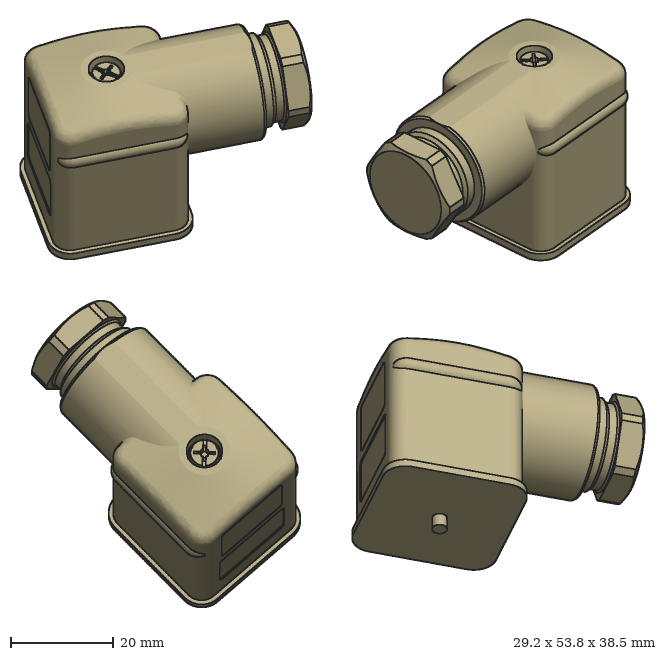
import cadquery as cq
import math

top_z = 35.8
overall_length = 53.75

edge_tolerance = 0.005

gasket_side = 29.2
gasket_thickness = 1.6
gasket_corner = 4.55

block_side = 27.3
block_half = block_side / 2
block_corner = 3.45
roof_flat_radius = 5.05
roof_slope = math.radians(15)
roof_fillet = 2.3

tube_radius = 11.55
tube_flat_half_width = 2.605
tube_axis_z = top_z - math.sqrt(tube_radius**2 - tube_flat_half_width**2)
tube_end_y = 29.35
tube_chamfer_length = 0.5
tube_chamfer_depth = 0.3
tube_root_fillet = 0.2

rib_z = 25.7
rib_half_height = 1.4
rib_crest = 0.65
rib_root = 0.1
rib_turn_radius = 2.3
rib_turn_y = block_half - block_corner

label_corner = 0.85
upper_label = (16.05, 18.65, 29.65, 0.05)
lower_label = (17.1, 6.65, 16.6, 0.25)

shank_radius = 1.48
shank_end_z = -2.7
head_top_z = top_z - 0.9
head_seat_z = head_top_z - 1.6
head_top_radius = 2.75
head_seat_radius = 2.95
bore_top_radius = 3.5
bore_seat_radius = 3.3

drive_angle = 45
slot_width = 0.7
slot_depth = 0.3
cross_width = 0.5
cross_top_half = 2.1
cross_bottom_half = 0.65
cross_depth = 1.1
cross_centre_radius = 0.85

nut_flats = 19.15
nut_corners = 21.1
nut_back_y = 34.0
nut_end_y = overall_length - gasket_side / 2
nut_end_radius = 9.1
nut_chamfer_slope = math.radians(30)
neck_radius = 8.65
neck_top_radius = 9.1
neck_top_y = 33.65
neck_bottom_y = 32.05
collar_radius = 9.35
collar_top_y = 31.35


def rounded_block(side, corner, bottom_z, height):
    """Square block about the Z axis with rounded vertical edges."""
    return cq.Workplane("XY", origin=(0, 0, bottom_z)).rect(side, side).extrude(height).edges("|Z").fillet(corner)


def turned_about_z(profile):
    """Solid of revolution about Z from (radius, z) points."""
    return cq.Workplane("XZ").polyline(profile).close().revolve(360, (0, 0), (0, 1))


def turned_about_tube(profile):
    """Solid of revolution about the tube axis from (radius, y) points."""
    plane = cq.Workplane("XY", origin=(0, 0, tube_axis_z))
    return plane.polyline(profile).close().revolve(360, (0, 0), (0, 1))


def make_roofed_block():
    """Block cut to a cone around a flat circle, with the outer roof edge rounded."""
    block = rounded_block(block_side, block_corner, gasket_thickness, top_z - gasket_thickness)
    rim_radius = block_side
    rim_z = top_z - (rim_radius - roof_flat_radius) * math.tan(roof_slope)
    envelope = turned_about_z([
        (0, 0), (0, top_z), (roof_flat_radius, top_z), (rim_radius, rim_z), (rim_radius, 0),
    ])
    block = block.intersect(envelope)

    roof_edges = [
        edge for edge in block.edges().vals()
        if edge.geomType() != "LINE" and rim_z < edge.Center().z < top_z - edge_tolerance
    ]
    return block.newObject(roof_edges).fillet(roof_fillet)


def make_tube():
    """Cable tube from the screw axis to its chamfered end, flattened at roof level."""
    tube = turned_about_tube([
        (0, 0), (tube_radius, 0), (tube_radius, tube_end_y - tube_chamfer_length),
        (tube_radius - tube_chamfer_depth, tube_end_y), (0, tube_end_y),
    ])
    below_roof = cq.Workplane("XY").box(block_side, 3 * block_side, top_z, centered=(True, True, False))
    return tube.intersect(below_roof)


def fillet_tube_root(body):
    """Round the curved seams where the tube leaves the roof and the +Y wall."""
    def lies_on_tube(edge):
        sample_points = [edge.positionAt(fraction) for fraction in (0.1, 0.3, 0.6)]
        return all(
            math.isclose(math.hypot(point.x, point.z - tube_axis_z), tube_radius, abs_tol=edge_tolerance)
            for point in sample_points
        )

    seams = [
        edge for edge in body.edges().vals()
        if edge.geomType() != "LINE" and 0 < edge.Center().y <= block_half and lies_on_tube(edge)
    ]
    return body.newObject(seams).fillet(tube_root_fillet)


def make_rib(side):
    """Rib on the wall at X = side * block_half, with its two ends turned about vertical axes."""
    crest_x = block_half + rib_crest
    edge_x = block_half - rib_root
    turn_x = edge_x - rib_turn_radius

    def section(y):
        return (
            cq.Workplane("XZ", origin=(side * turn_x, y, rib_z))
            .moveTo(0, -rib_half_height)
            .lineTo(side * rib_turn_radius, -rib_half_height)
            .threePointArc((side * (crest_x - turn_x), 0), (side * rib_turn_radius, rib_half_height))
            .lineTo(0, rib_half_height)
            .close()
        )

    rib = section(rib_turn_y).extrude(2 * rib_turn_y)
    for y in (-rib_turn_y, rib_turn_y):
        rib = rib.union(section(y).revolve(360, (0, 0), (0, 1)))
    return rib


def make_label_recess(width, bottom, top, depth):
    """Cutter for a shallow rounded recess in the -Y wall."""
    plane = cq.Workplane("XZ", origin=(0, depth - block_half, (bottom + top) / 2))
    return plane.rect(width, top - bottom).extrude(depth).edges("|Y").fillet(label_corner)


def make_screw_bore():
    """Tapered counterbore down to the head seat, then the shank hole."""
    return turned_about_z([
        (0, 0), (shank_radius, 0), (shank_radius, head_seat_z),
        (bore_seat_radius, head_seat_z), (bore_top_radius, top_z), (0, top_z),
    ])


def make_housing():
    housing = fillet_tube_root(make_roofed_block().union(make_tube()))
    for side in (-1, 1):
        housing = housing.union(make_rib(side))
    for label in (upper_label, lower_label):
        housing = housing.cut(make_label_recess(*label))
    return housing.cut(make_screw_bore())


def make_gasket():
    gasket = rounded_block(gasket_side, gasket_corner, 0, gasket_thickness)
    return gasket.faces(">Z").workplane().hole(2 * shank_radius)


def make_screw():
    screw = turned_about_z([
        (0, shank_end_z), (shank_radius, shank_end_z), (shank_radius, head_seat_z),
        (head_seat_radius, head_seat_z), (head_top_radius, head_top_z), (0, head_top_z),
    ])

    slot_length = 2 * head_seat_radius
    slot = cq.Workplane("XY").box(slot_length, slot_width, 2 * slot_depth)
    cross_profile = [
        (-cross_top_half, 0), (cross_top_half, 0),
        (cross_bottom_half, -cross_depth), (-cross_bottom_half, -cross_depth),
    ]
    arm = cq.Workplane("XZ").polyline(cross_profile).close().extrude(cross_width / 2, both=True)
    centre = turned_about_z([
        (0, 0), (cross_centre_radius, 0), (cross_bottom_half, -cross_depth), (0, -cross_depth),
    ])
    drive = slot.union(arm).union(arm.rotate((0, 0, 0), (0, 0, 1), 90)).union(centre)
    drive = drive.rotate((0, 0, 0), (0, 0, 1), drive_angle).translate((0, 0, head_top_z))
    return screw.cut(drive)


def make_gland_nut():
    def hexagon(flats, turn):
        """Hexagonal prism along +Y; without a turn, one flat faces straight up."""
        plane = cq.Workplane("XZ", origin=(0, nut_back_y, tube_axis_z))
        prism = plane.polygon(6, flats / math.cos(math.pi / 6)).extrude(nut_back_y - nut_end_y)
        return prism.rotate((0, 0, tube_axis_z), (0, 1, tube_axis_z), turn)

    chamfer_rim = nut_corners
    chamfer_rim_y = nut_end_y - (chamfer_rim - nut_end_radius) * math.tan(nut_chamfer_slope)
    end_cone = turned_about_tube([
        (0, 0), (chamfer_rim, 0), (chamfer_rim, chamfer_rim_y), (nut_end_radius, nut_end_y), (0, nut_end_y),
    ])
    head = hexagon(nut_flats, 0).intersect(hexagon(nut_corners, 30)).intersect(end_cone)

    neck = turned_about_tube([
        (0, tube_end_y), (collar_radius, tube_end_y), (collar_radius, collar_top_y),
        (neck_radius, neck_bottom_y), (neck_radius, neck_top_y),
        (neck_top_radius, nut_back_y), (0, nut_back_y),
    ])
    return head.union(neck)


housing = make_housing()
gasket = make_gasket()
screw = make_screw()
gland_nut = make_gland_nut()

bodies = (housing, gasket, screw, gland_nut)
result = cq.Compound.makeCompound([body.solids().val() for body in bodies])